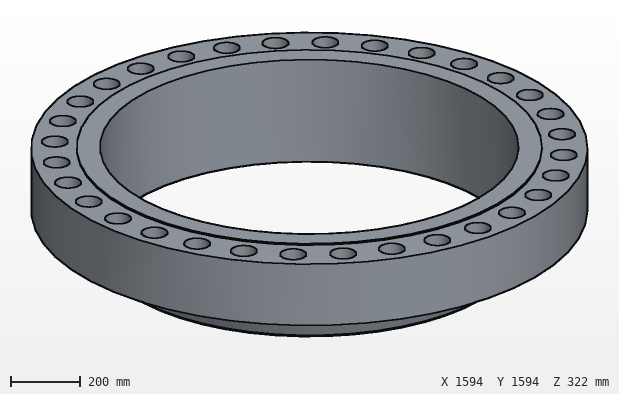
import cadquery as cq

flange_diameter = 1594.0
total_height = 322.0
bore_diameter = 1199.0

raised_face_diameter = 1332.0
raised_face_height = 5.0
flange_thickness = 193.0

hub_root_diameter = 1290.0
hub_tip_diameter = 1221.0
bevel_height = 8.0
weld_edge_diameter = 1205.0
hub_root_fillet = 18.0

bolt_count = 32
bolt_circle_diameter = 1460.0
bolt_hole_diameter = 75.0

flange_top = total_height - raised_face_height
flange_bottom = flange_top - flange_thickness


def make_ring():
    """Revolve the flange, raised face and hub as one hollow ring."""
    bore_radius = bore_diameter / 2
    profile = (
        cq.Workplane("XZ")
        .moveTo(bore_radius, 0)
        .lineTo(weld_edge_diameter / 2, 0)
        .lineTo(hub_tip_diameter / 2, bevel_height)
        .lineTo(hub_root_diameter / 2, flange_bottom)
        .lineTo(flange_diameter / 2, flange_bottom)
        .lineTo(flange_diameter / 2, flange_top)
        .lineTo(raised_face_diameter / 2, flange_top)
        .lineTo(raised_face_diameter / 2, total_height)
        .lineTo(bore_radius, total_height)
        .close()
    )
    return profile.revolve(360, (0, 0, 0), (0, 1, 0))


def round_hub_root(ring):
    """Fillet the inside corner between the hub and the flange underside."""
    margin = hub_root_fillet / 2
    root_radius = hub_root_diameter / 2
    reach = root_radius + margin
    root_edge = cq.selectors.BoxSelector(
        (-reach, -reach, flange_bottom - margin),
        (reach, reach, flange_bottom + margin),
        boundingbox=True,
    )
    return ring.edges(root_edge).fillet(hub_root_fillet)


def make_bolt_holes():
    """Cylinders through the flange, evenly spaced on the bolt circle."""
    return (
        cq.Workplane("XY")
        .workplane(offset=flange_bottom)
        .polarArray(bolt_circle_diameter / 2, 0, 360, bolt_count)
        .circle(bolt_hole_diameter / 2)
        .extrude(flange_thickness)
    )


result = round_hub_root(make_ring()).cut(make_bolt_holes())